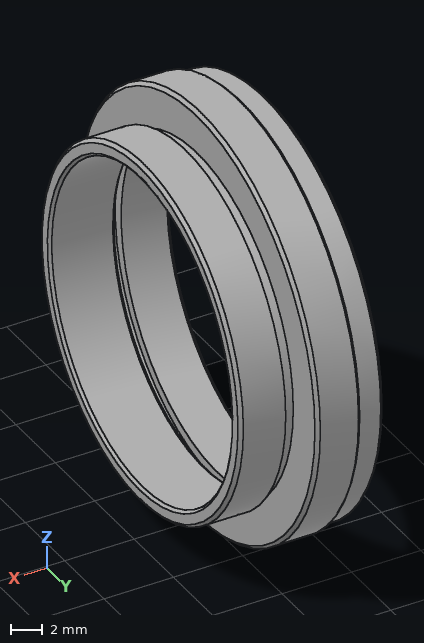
import cadquery as cq

flange_start = 1.8
flange_end = 5.0
spigot_start = 5.8
length = 9.1

front_diameter = 29.8
flange_diameter = 30.5
relief_diameter = 24.5
spigot_diameter = 25.4

counterbore_diameter = 24.5
counterbore_depth = 4.3
bore_diameter = 23.1

undercut_diameter = 26.0
undercut_width = 0.8

edge_chamfer = 0.2
rear_rim_chamfer = 0.25


def cylinder(start, end, diameter):
    """Solid cylinder on the X axis between two axial stations."""
    disc = cq.Workplane("YZ").workplane(offset=start).circle(diameter / 2)
    return disc.extrude(end - start)


def hole_mouth(face_station, diameter, direction):
    """45 degree cutter at a hole's mouth; direction is +1 or -1 along X, into the hole."""
    mouth_radius = diameter / 2 + edge_chamfer
    cone = cq.Solid.makeCone(
        mouth_radius,
        diameter / 2,
        edge_chamfer,
        pnt=cq.Vector(face_station, 0, 0),
        dir=cq.Vector(direction, 0, 0),
    )
    return cq.Workplane(cone)


def make_outside():
    """Front land, flange, relief groove and spigot, with chamfered rims."""
    front = cylinder(0, flange_start, front_diameter).faces("<X").chamfer(edge_chamfer)
    flange = cylinder(flange_start, flange_end, flange_diameter)
    flange = flange.faces("<X").chamfer(edge_chamfer).faces(">X").chamfer(rear_rim_chamfer)
    relief = cylinder(flange_end, spigot_start, relief_diameter)
    spigot = cylinder(spigot_start, length, spigot_diameter).faces(">X").chamfer(rear_rim_chamfer)
    return front.union(flange).union(relief).union(spigot)


def make_bore():
    """Through bore, counterbore and undercut, with chamfered mouths."""
    bore = cylinder(0, length, bore_diameter)
    counterbore = cylinder(0, counterbore_depth, counterbore_diameter)
    undercut = cylinder(counterbore_depth - undercut_width, counterbore_depth, undercut_diameter)
    cutter = bore.union(counterbore).union(undercut)
    cutter = cutter.union(hole_mouth(0, counterbore_diameter, 1))
    cutter = cutter.union(hole_mouth(counterbore_depth, bore_diameter, 1))
    return cutter.union(hole_mouth(length, bore_diameter, -1))


result = make_outside().cut(make_bore())